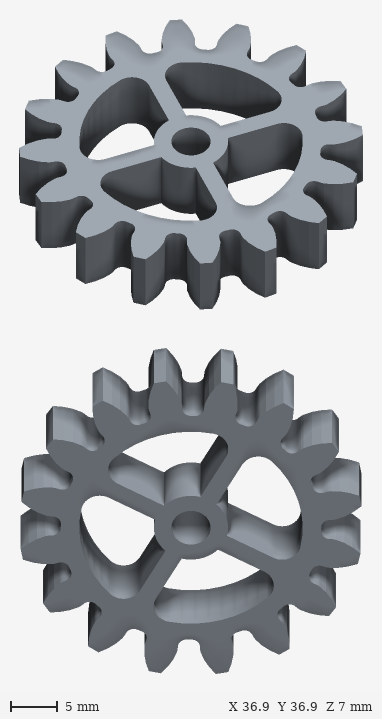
import cadquery as cq
import math

outer_size = 36.93
thickness = 7.0

tooth_count = 16
pitch_angle = 2 * math.pi / tooth_count
first_tooth_angle = pitch_angle / 4
base_radius = 15.35
base_half_angle = math.radians(6.7)
root_radius = 14.0
root_fillet = 0.92
match_tolerance = 0.05
lowest_facet_radius = 15.65
flank_facets = 3
tip_half_angle = math.radians(2.1)

tip_radius = outer_size / 2 / math.cos(first_tooth_angle - tip_half_angle)

bore_diameter = 4.2
hub_radius = 4.0
spoke_width = 2.0
spoke_count = 4
window_radius = 12.0
window_fillet = 2.0


def polar(radius, angle):
    return (radius * math.cos(angle), radius * math.sin(angle))


def axis_distance(edge):
    center = edge.Center()
    return math.hypot(center.x, center.y)


def flank_half_angle(radius):
    """Half the tooth's angular width on its involute flank."""
    pressure_angle = math.acos(base_radius / radius)
    return base_half_angle - (math.tan(pressure_angle) - pressure_angle)


def flank_corners():
    """(radius, half angle) of the flank corners, from the base circle out to the tip."""
    corners = [(base_radius, base_half_angle)]
    facet_height = (tip_radius - lowest_facet_radius) / flank_facets
    for i in range(flank_facets):
        radius = lowest_facet_radius + i * facet_height
        corners.append((radius, flank_half_angle(radius)))
    corners.append((tip_radius, tip_half_angle))
    return corners


def make_tooth():
    """One tooth along +X, with radial sides below the base circle, rooted inside the rim."""
    flank = [(window_radius, base_half_angle)] + flank_corners()
    lower_side = [polar(radius, -angle) for radius, angle in flank]
    upper_side = [polar(radius, angle) for radius, angle in reversed(flank)]
    return cq.Workplane("XY").polyline(lower_side + upper_side).close().extrude(thickness)


def is_root_corner(edge):
    """True where a tooth side meets the root circle."""
    return math.isclose(axis_distance(edge), root_radius, abs_tol=match_tolerance)


def make_toothed_disc():
    disc = cq.Workplane("XY").circle(root_radius).extrude(thickness)
    tooth = make_tooth()
    for i in range(tooth_count):
        angle = math.degrees(first_tooth_angle + i * pitch_angle)
        disc = disc.union(tooth.rotate((0, 0, 0), (0, 0, 1), angle))
    return disc.edges("|Z").filter(is_root_corner).fillet(root_fillet)


def make_window():
    """Opening between the +X and +Y spokes, from hub to rim."""
    spoke_side = spoke_width / 2
    quadrant = (
        cq.Workplane("XY")
        .moveTo(spoke_side, spoke_side)
        .rect(window_radius, window_radius, centered=False)
        .extrude(thickness)
    )
    rim_disc = cq.Workplane("XY").circle(window_radius).extrude(thickness)
    hub = cq.Workplane("XY").circle(hub_radius).extrude(thickness)
    sector = quadrant.intersect(rim_disc)
    rim_corners = sector.edges("|Z").filter(lambda edge: axis_distance(edge) > hub_radius)
    return rim_corners.fillet(window_fillet).cut(hub)


bore = cq.Workplane("XY").circle(bore_diameter / 2).extrude(thickness)
window = make_window()
result = make_toothed_disc().cut(bore)
for i in range(spoke_count):
    result = result.cut(window.rotate((0, 0, 0), (0, 0, 1), i * 360 / spoke_count))